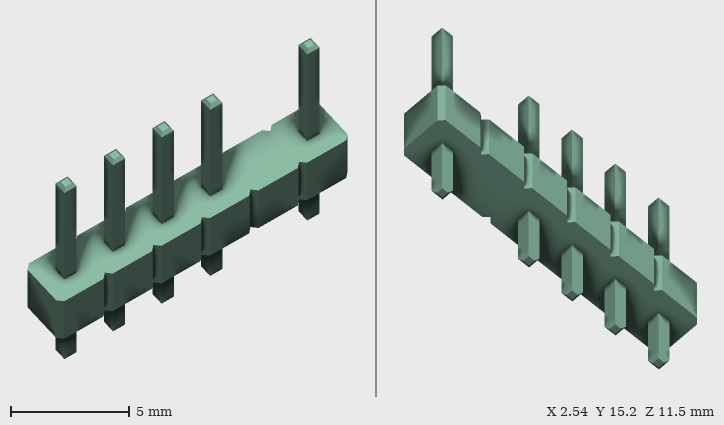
import cadquery as cq

strip_length = 15.24
positions = 6
empty_position = 4
pitch = strip_length / positions
corner_bevel = 0.25

pin_width = 0.64
pin_length = 11.54
pin_below = 3.0
tip_bevel = 0.15


def position_y(index):
    """Y of the centre of a position along the strip."""
    return (index - (positions - 1) / 2) * pitch


def make_block(index):
    """One cube of the strip with bevelled vertical edges."""
    return (
        cq.Workplane("XY")
        .box(pitch, pitch, pitch, centered=(True, True, False))
        .edges("|Z")
        .chamfer(corner_bevel)
        .translate((0, position_y(index), 0))
    )


def make_pin(index):
    """One square pin through the strip, bevelled at both tips."""
    return (
        cq.Workplane("XY")
        .box(pin_width, pin_width, pin_length, centered=(True, True, False))
        .faces("<Z or >Z")
        .chamfer(tip_bevel)
        .translate((0, position_y(index), -pin_below))
    )


result = make_block(0)
for index in range(1, positions):
    result = result.union(make_block(index))

for index in range(positions):
    if index != empty_position:
        result = result.union(make_pin(index))